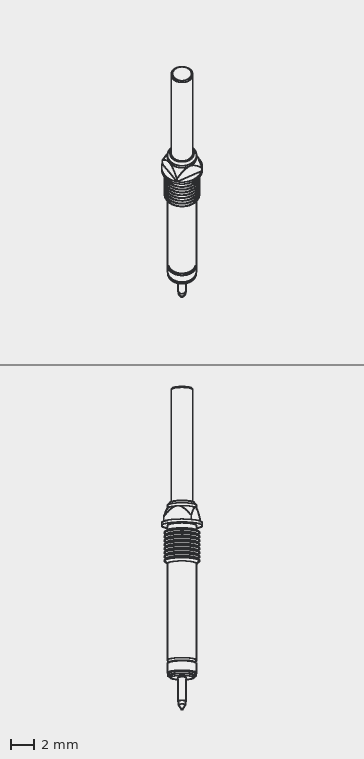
import cadquery as cq

total_length = 28.0

pin_diameter = 0.7
pin_radius = pin_diameter / 2
pin_neck_radius = 0.3
pin_neck_top = 0.73
pin_cone_top = 0.42
pin_tip_radius = 0.05

barrel_diameter = 2.5
barrel_radius = barrel_diameter / 2
barrel_nose_radius = 1.0
barrel_nose_bottom = 2.77
barrel_nose_top = 2.95
barrel_step_height = 0.25
barrel_step_diameter = 2.45
barrel_step_radius = barrel_step_diameter / 2
barrel_step_chamfer = 0.08

groove_bottom = 4.0
groove_floor = 4.1
groove_top = 4.28
groove_depth = 0.1

thread_radius = 1.5
thread_root_radius = 1.3
thread_count = 8
thread_length = 2.8
thread_pitch = thread_length / thread_count
thread_crest_flat = 0.045
thread_root_flat = 0.05
thread_first_crest = 12.95
thread_bottom = 12.7
thread_top = 15.6

flange_diameter = 3.5
flange_radius = flange_diameter / 2
flange_bottom = 16.02
flange_top = 16.27
square_width = barrel_diameter
square_cone_bottom = 16.65
square_cone_top = 17.53
collar_chamfer_bottom = 17.78
collar_top = 18.03
collar_top_radius = 1.05

rod_radius = 0.92
rod_chamfer = 0.1


def turned(points):
    """Revolve (radius, height) points around the Z axis."""
    return cq.Workplane("XZ").polyline(points).close().revolve(360, (0, 0, 0), (0, 1, 0))


def make_pin():
    return turned([
        (0, 0),
        (pin_tip_radius, 0),
        (pin_neck_radius, pin_cone_top),
        (pin_neck_radius, pin_neck_top),
        (pin_radius, pin_neck_top),
        (pin_radius, barrel_nose_top),
        (0, barrel_nose_top),
    ])


def make_barrel():
    step_top = barrel_nose_top + barrel_step_height
    return turned([
        (0, barrel_nose_bottom),
        (barrel_nose_radius, barrel_nose_bottom),
        (barrel_nose_radius, barrel_nose_top),
        (barrel_step_radius, barrel_nose_top),
        (barrel_step_radius, step_top - barrel_step_chamfer),
        (barrel_radius, step_top),
        (barrel_radius, groove_bottom),
        (barrel_radius - groove_depth, groove_floor),
        (barrel_radius, groove_top),
        (barrel_radius, flange_top),
        (0, flange_top),
    ])


def make_thread():
    half_crest = thread_crest_flat / 2
    half_root = thread_root_flat / 2
    points = [(0, thread_bottom), (barrel_radius, thread_bottom)]
    for ring in range(thread_count):
        crest = thread_first_crest + ring * thread_pitch
        if ring > 0:
            root = crest - thread_pitch / 2
            points.append((thread_root_radius, root - half_root))
            points.append((thread_root_radius, root + half_root))
        points.append((thread_radius, crest - half_crest))
        points.append((thread_radius, crest + half_crest))
    points.append((barrel_radius, thread_top))
    points.append((0, thread_top))
    return turned(points)


def make_collar():
    flange = turned([
        (0, flange_bottom),
        (flange_radius, flange_bottom),
        (flange_radius, flange_top),
        (0, flange_top),
    ])
    turned_blank = turned([
        (0, flange_top),
        (flange_radius, flange_top),
        (flange_radius, square_cone_bottom),
        (barrel_radius, square_cone_top),
        (barrel_radius, collar_chamfer_bottom),
        (collar_top_radius, collar_top),
        (0, collar_top),
    ])
    square = (
        cq.Workplane("XY")
        .workplane(offset=flange_top)
        .rect(square_width, square_width)
        .extrude(collar_top - flange_top)
    )
    return flange.union(turned_blank.intersect(square))


def make_rod():
    return (
        cq.Workplane("XY")
        .workplane(offset=collar_top)
        .circle(rod_radius)
        .extrude(total_length - collar_top)
        .faces(">Z")
        .chamfer(rod_chamfer)
    )


result = make_barrel().union(make_pin()).union(make_thread()).union(make_collar()).union(make_rod())